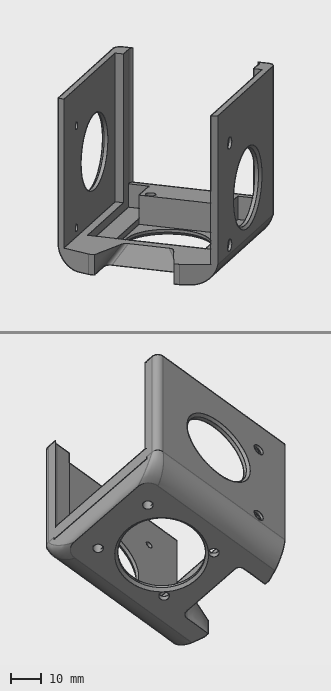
import cadquery as cq
import math

WIDTH = 55.0
HEIGHT = 58.0
BACK_Y = 27.0
FRONT_Y = -33.0
HALF_WIDTH = WIDTH / 2

WALL_THICKNESS = 2.2
POST_FRONT_Y = 20.1
POST_INNER_X = 22.4
POST_FLARE_RADIUS = 1.6
POST_FLARE_WIDTH = 0.85
BACK_CORNER_RADIUS = 2.5

BASE_HEIGHT = 7.0
SIDE_INSET = 7.5
BACK_INSET = 2.5
BULGE_RADIUS = 8.4
BOTTOM_CORNER_RADIUS = 4.6
BASE_SECTIONS = 6

FRONT_SIDE_Y = -29.2
TOE_OUTER_X = 15.65
NOTCH_FRONT_X = 13.7

NOTCH_TOP_X = 8.45
NOTCH_TOP_Y = -18.6
NOTCH_BOTTOM_Y = -21.6
NOTCH_CORNER_RADIUS = 2.0

BLOCK_TOP_Z = 12.0
BLOCK_FRONT_Y = 15.1
BLOCK_RIM_Y = 24.8

RECESS_FRONT_Y = -15.0
CHANNEL_FLOOR_Z = 4.0
POCKET_FLOOR_Z = 2.0
POCKET_HALF_WIDTH = 15.3
POCKET_CORNER_RADIUS = 1.0

FLOOR_OPENING_DIAMETER = 28.5
FLOOR_OPENING_CHAMFER = 1.0
FLOOR_SCREW_DIAMETER = 3.4
FLOOR_SCREW_X = 12.0
FLOOR_SCREW_YS = (17.0, -12.0)

SIDE_OPENING_DIAMETER = 26.0
SIDE_OPENING_CHAMFER = 0.9
LEFT_OPENING_Z = 30.6
RIGHT_OPENING_Z = 24.2
SIDE_SCREW_DIAMETER = 2.4
SIDE_COUNTERBORE_DIAMETER = 4.0
SIDE_COUNTERBORE_DEPTH = 1.0
SIDE_SCREW_Y = -17.6
SIDE_SCREW_ZS = (10.0, 45.0)

OVERCUT = 1.0


def box(x_range, y_range, z_range):
    """Box between the given pairs of limits."""
    size = [high - low for low, high in (x_range, y_range, z_range)]
    return cq.Workplane("XY").box(*size, centered=False).translate((x_range[0], y_range[0], z_range[0]))


def outline(plane_z, inset_fraction, corner_radius):
    """Closed outline with square front corners and rounded back corners."""
    half = HALF_WIDTH - SIDE_INSET * inset_fraction
    back = BACK_Y - BACK_INSET * inset_fraction
    bend = corner_radius * (1 - math.sqrt(0.5))
    return (
        cq.Workplane("XY", origin=(0, 0, plane_z))
        .moveTo(-half, FRONT_Y - OVERCUT)
        .lineTo(half, FRONT_Y - OVERCUT)
        .lineTo(half, back - corner_radius)
        .threePointArc((half - bend, back - bend), (half - corner_radius, back))
        .lineTo(corner_radius - half, back)
        .threePointArc((bend - half, back - bend), (-half, back - corner_radius))
        .close()
    )


def bulge_fraction(depth):
    """Share of the full inset reached at a depth below the top of the base, on a circular arc."""
    half_chord = math.hypot(SIDE_INSET, BASE_HEIGHT) / 2
    center_offset = math.sqrt(BULGE_RADIUS**2 - half_chord**2)
    center_inset = SIDE_INSET / 2 + center_offset * BASE_HEIGHT / (2 * half_chord)
    center_depth = BASE_HEIGHT / 2 - center_offset * SIDE_INSET / (2 * half_chord)
    inset = center_inset - math.sqrt(BULGE_RADIUS**2 - (depth - center_depth) ** 2)
    return inset / SIDE_INSET


def base():
    """Base plate lofted through outlines that shrink towards the underside."""
    wires = []
    for index in range(BASE_SECTIONS):
        share = math.sin(math.pi / 2 * index / (BASE_SECTIONS - 1))
        depth = BASE_HEIGHT * share
        radius = BACK_CORNER_RADIUS + (BOTTOM_CORNER_RADIUS - BACK_CORNER_RADIUS) * share
        section = outline(BASE_HEIGHT - depth, bulge_fraction(depth), radius)
        wires.append(section.wire().val())
    return cq.Workplane(cq.Solid.makeLoft(wires))


def upper_cavity():
    """Space between the walls, narrower between the posts and flared in at the very back."""
    wall_inner_x = HALF_WIDTH - WALL_THICKNESS
    between_walls = box(
        (-wall_inner_x, wall_inner_x), (FRONT_Y - 2 * OVERCUT, POST_FRONT_Y), (BASE_HEIGHT, HEIGHT + OVERCUT)
    )
    mouth_x = POST_INNER_X - POST_FLARE_WIDTH
    flare_angle = math.acos(1 - POST_FLARE_WIDTH / POST_FLARE_RADIUS)
    flare_y = BACK_Y - POST_FLARE_RADIUS * math.sin(flare_angle)
    bend_x = POST_INNER_X - POST_FLARE_RADIUS * (1 - math.cos(flare_angle / 2))
    bend_y = flare_y + POST_FLARE_RADIUS * math.sin(flare_angle / 2)
    between_posts = (
        cq.Workplane("XY", origin=(0, 0, BASE_HEIGHT))
        .moveTo(-POST_INNER_X, POST_FRONT_Y)
        .lineTo(POST_INNER_X, POST_FRONT_Y)
        .lineTo(POST_INNER_X, flare_y)
        .threePointArc((bend_x, bend_y), (mouth_x, BACK_Y))
        .lineTo(mouth_x, BACK_Y + OVERCUT)
        .lineTo(-mouth_x, BACK_Y + OVERCUT)
        .lineTo(-mouth_x, BACK_Y)
        .threePointArc((-bend_x, bend_y), (-POST_INNER_X, flare_y))
        .close()
        .extrude(HEIGHT + OVERCUT - BASE_HEIGHT)
    )
    return between_walls.union(between_posts)


def block():
    """Raised block at the back, with a thin full-width rim behind it."""
    heights = (BASE_HEIGHT - OVERCUT, BLOCK_TOP_Z)
    middle = box((-POCKET_HALF_WIDTH, POCKET_HALF_WIDTH), (BLOCK_FRONT_Y, BACK_Y), heights)
    rim = box((-POST_INNER_X, POST_INNER_X), (BLOCK_RIM_Y, BACK_Y), heights)
    return middle.union(rim)


def floor_recess():
    """Deep central pocket flanked by two shallower channels that reach the back rim."""
    pocket_x = (-POCKET_HALF_WIDTH, POCKET_HALF_WIDTH)
    pocket_y = (RECESS_FRONT_Y, BLOCK_FRONT_Y)
    channel_y = (RECESS_FRONT_Y, BLOCK_RIM_Y)
    channel_z = (CHANNEL_FLOOR_Z, BASE_HEIGHT)
    pocket = box(pocket_x, pocket_y, (POCKET_FLOOR_Z, BASE_HEIGHT))
    pocket = pocket.edges("|Z and <Y").fillet(POCKET_CORNER_RADIUS)
    recess = pocket.union(box(pocket_x, pocket_y, channel_z))
    for channel_x in ((-POST_INNER_X, -POCKET_HALF_WIDTH), (POCKET_HALF_WIDTH, POST_INNER_X)):
        recess = recess.union(box(channel_x, channel_y, channel_z))
    return recess


def front_trim():
    """Prism whose outline tapers the front of the walls and base."""
    return (
        cq.Workplane("XY")
        .polyline(
            [
                (-HALF_WIDTH, BACK_Y),
                (-HALF_WIDTH, FRONT_SIDE_Y),
                (-TOE_OUTER_X, FRONT_Y),
                (TOE_OUTER_X, FRONT_Y),
                (HALF_WIDTH, FRONT_SIDE_Y),
                (HALF_WIDTH, BACK_Y),
            ]
        )
        .close()
        .extrude(HEIGHT)
    )


def notch_section(plane_z, back_x, back_y, corner_radius):
    """Notch outline with rounded inner corners, open to the front of the base."""
    slope = math.atan2(NOTCH_FRONT_X - back_x, back_y - FRONT_Y)
    setback = corner_radius * math.tan((math.pi / 2 - slope) / 2)
    center_x = back_x - setback
    center_y = back_y - corner_radius
    tangent_x = back_x + setback * math.sin(slope)
    tangent_y = back_y - setback * math.cos(slope)
    arc_angle = (math.pi / 2 + slope) / 2
    mid_x = center_x + corner_radius * math.cos(arc_angle)
    mid_y = center_y + corner_radius * math.sin(arc_angle)
    return (
        cq.Workplane("XY", origin=(0, 0, plane_z))
        .moveTo(-NOTCH_FRONT_X, FRONT_Y)
        .lineTo(NOTCH_FRONT_X, FRONT_Y)
        .lineTo(tangent_x, tangent_y)
        .threePointArc((mid_x, mid_y), (center_x, back_y))
        .lineTo(-center_x, back_y)
        .threePointArc((-mid_x, mid_y), (-tangent_x, tangent_y))
        .close()
        .wire()
        .val()
    )


def front_notch():
    """Notch lofted straight from the underside to the top of the base."""
    lower = notch_section(0, NOTCH_FRONT_X, NOTCH_BOTTOM_Y, NOTCH_CORNER_RADIUS)
    upper = notch_section(BASE_HEIGHT, NOTCH_TOP_X, NOTCH_TOP_Y, NOTCH_CORNER_RADIUS)
    return cq.Workplane(cq.Solid.makeLoft([lower, upper], True))


def floor_holes():
    """Central opening, chamfered at the underside, and four screw holes, all along Z."""
    opening_radius = FLOOR_OPENING_DIAMETER / 2
    opening = cq.Workplane("XY").circle(opening_radius).extrude(BASE_HEIGHT)
    chamfer = cq.Solid.makeCone(
        opening_radius + FLOOR_OPENING_CHAMFER, opening_radius, FLOOR_OPENING_CHAMFER
    )
    positions = [(x, y) for x in (-FLOOR_SCREW_X, FLOOR_SCREW_X) for y in FLOOR_SCREW_YS]
    screws = cq.Workplane("XY").pushPoints(positions).circle(FLOOR_SCREW_DIAMETER / 2).extrude(BLOCK_TOP_Z)
    return opening.union(cq.Workplane(chamfer)).union(screws)


def wall_holes(side, opening_z):
    """Chamfered opening and counterbored screw holes of one wall; side is -1 or +1 along X."""
    outer_x = side * HALF_WIDTH
    inward = cq.Vector(-side, 0, 0)
    opening_start = cq.Vector(outer_x, 0, opening_z)
    opening_radius = SIDE_OPENING_DIAMETER / 2
    holes = cq.Workplane(
        cq.Solid.makeCylinder(opening_radius, WALL_THICKNESS + OVERCUT, opening_start, inward)
    )
    chamfer = cq.Solid.makeCone(
        opening_radius + SIDE_OPENING_CHAMFER, opening_radius, SIDE_OPENING_CHAMFER, opening_start, inward
    )
    holes = holes.union(cq.Workplane(chamfer))
    for screw_z in SIDE_SCREW_ZS:
        start = cq.Vector(outer_x, SIDE_SCREW_Y, screw_z)
        bore = cq.Solid.makeCylinder(SIDE_SCREW_DIAMETER / 2, WALL_THICKNESS + OVERCUT, start, inward)
        counterbore = cq.Solid.makeCylinder(
            SIDE_COUNTERBORE_DIAMETER / 2, SIDE_COUNTERBORE_DEPTH, start, inward
        )
        holes = holes.union(cq.Workplane(bore)).union(cq.Workplane(counterbore))
    return holes


walls = outline(BASE_HEIGHT, 0, BACK_CORNER_RADIUS).extrude(HEIGHT - BASE_HEIGHT).cut(upper_cavity())
body = base().union(walls).union(block())
body = body.intersect(front_trim())
body = body.cut(floor_recess()).cut(front_notch()).cut(floor_holes())
result = body.cut(wall_holes(-1, LEFT_OPENING_Z)).cut(wall_holes(1, RIGHT_OPENING_Z))